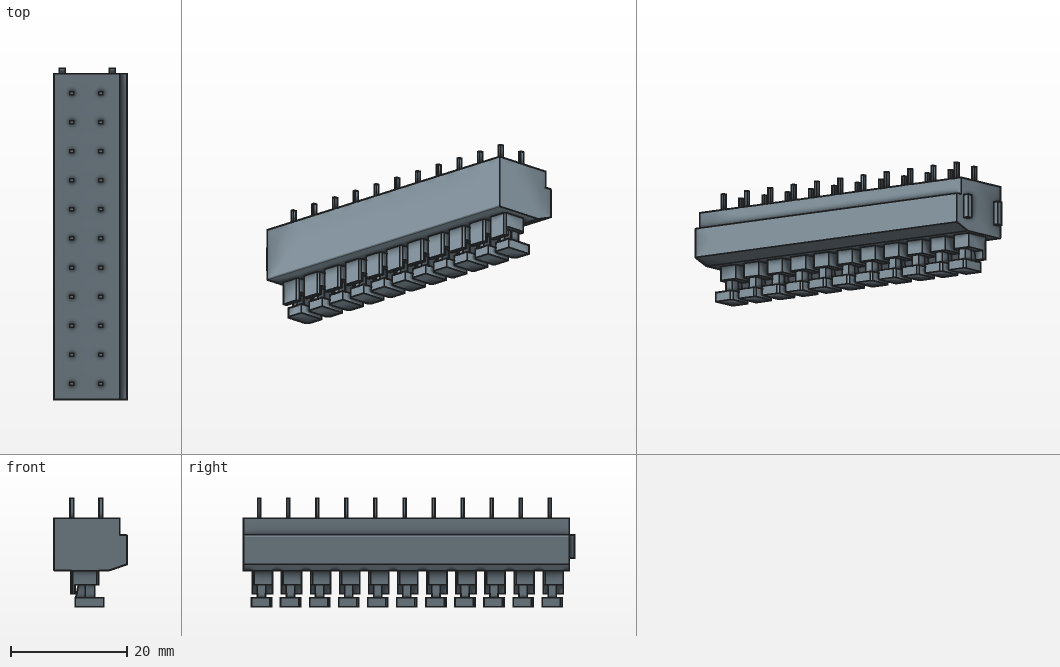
import cadquery as cq


positions = 11
pins_per_position = 2
row_span = 50.0
pitch = row_span / (positions - 1)

length = 56.1
width = 12.6
height = 9.05
ledge_width = 1.25
ledge_drop = 2.9
edge_round = 0.3
slope_start_x = 9.4
slope_rise = 1.1

pin_x_size = 0.7
pin_y_size = 0.5
pin_height = 3.4
pin_first_x = 3.1
pin_first_y = 2.75

peg_count = 2
peg_width = 1.1
peg_protrusion = 0.9
peg_bottom_z = 2.15
peg_height = 4.0
peg_first_x = 1.4
peg_spacing = 8.6

guide_left_x = 2.9
guide_right_x = 7.75
guide_depth = 2.45
skirt_depth = 4.0
skirt_thickness = 0.75
guide_y_size = 3.5
guide_first_y = 3.3
guide_bevel = 0.35

stem_left_x = 5.35
stem_right_x = 7.05
stem_y_size = 1.4
rib_y_size = 1.0
rib_top_x = 4.2
rib_bottom_x = 3.75
head_left_x = 3.65
head_length = 4.95
head_top_depth = 4.6
head_bottom_depth = 6.2
head_y_size = 3.5
head_first_y = 3.15
head_bevel = 0.35


def box(x, y, z, x_size, y_size, z_size):
    """Box with its low corner in X and Z at (x, z), centred on y."""
    block = cq.Workplane("XY").box(x_size, y_size, z_size, centered=(False, True, False))
    return block.translate((x, y, z))


def make_housing():
    profile = [
        (0, 0),
        (slope_start_x, 0),
        (width, slope_rise),
        (width, height - ledge_drop),
        (width - ledge_width, height - ledge_drop),
        (width - ledge_width, height),
        (0, height),
    ]
    housing = cq.Workplane("XZ").polyline(profile).close().extrude(-length)
    for x, z in ((0, 0), (width, height - ledge_drop)):
        corner_edge = cq.selectors.NearestToPointSelector((x, length / 2, z))
        housing = housing.edges(corner_edge).fillet(edge_round)
    return housing


def make_pin(x, y):
    return box(x - pin_x_size / 2, y, height, pin_x_size, pin_y_size, pin_height)


def make_peg(x):
    middle_y = length + peg_protrusion / 2
    return box(x - peg_width / 2, middle_y, peg_bottom_z, peg_width, peg_protrusion, peg_height)


def make_guide(y):
    guide_length = guide_right_x - guide_left_x
    block = box(guide_left_x, y, -guide_depth, guide_length, guide_y_size, guide_depth)
    skirt = box(guide_left_x, y, -skirt_depth, skirt_thickness, guide_y_size, skirt_depth)
    return block.union(skirt).edges("|Z and <Y").edges("<X or >X").chamfer(guide_bevel)


def make_button(y):
    stem_length = stem_right_x - stem_left_x
    stem_height = head_top_depth - guide_depth
    stem = box(stem_left_x, y, -head_top_depth, stem_length, stem_y_size, stem_height)
    rib_profile = [
        (stem_left_x, -guide_depth),
        (rib_top_x, -guide_depth),
        (rib_bottom_x, -head_top_depth),
        (stem_left_x, -head_top_depth),
    ]
    rib = (
        cq.Workplane("XZ", origin=(0, y, 0))
        .polyline(rib_profile).close()
        .extrude(rib_y_size / 2, both=True)
    )
    head_height = head_bottom_depth - head_top_depth
    head = box(head_left_x, y, -head_bottom_depth, head_length, head_y_size, head_height)
    head = head.edges("|Z and >Y").chamfer(head_bevel)
    return stem.union(rib).union(head)


result = make_housing()
for peg_number in range(peg_count):
    result = result.union(make_peg(peg_first_x + peg_number * peg_spacing))
for position in range(positions):
    offset = position * pitch
    for pin_number in range(pins_per_position):
        result = result.union(make_pin(pin_first_x + pin_number * pitch, pin_first_y + offset))
    result = result.union(make_guide(guide_first_y + offset))
    result = result.union(make_button(head_first_y + offset))